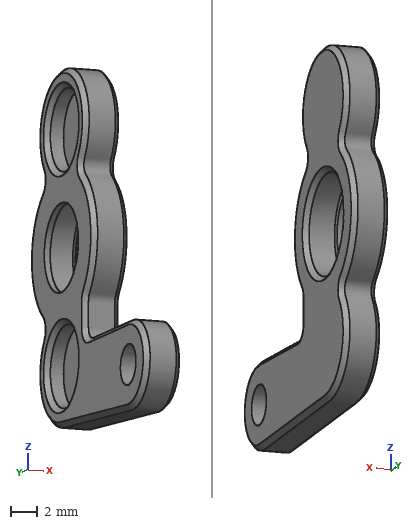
import cadquery as cq
import math

thickness = 3.0
edge_chamfer = 0.4
rim_chamfer = 0.4
corner_fillet = 1.0

ring_radius = 6.5
bore_diameter = 7.0
seat_diameter = 8.1
lip_thickness = 0.5

lobe_radius = 4.75
lobe_pitch = 9.25
pocket_diameter = 6.5
pocket_depth = thickness / 2

arm_end_radius = 3.5
arm_end_y = -13.8
arm_end_z = -11.48
arm_hole_diameter = 3.2
web_edge_y = -4.6


def disc(y, z, radius, depth=thickness, start=0):
    """Cylinder along +X that begins at X = start."""
    return cq.Workplane("YZ", origin=(start, y, z)).circle(radius).extrude(depth)


def arm():
    """Arm with a level top and an underside tangent to both the lobe and its round end."""
    dy = arm_end_y
    dz = arm_end_z + lobe_pitch
    slope = math.atan2(dz, dy)
    tilt = math.acos((lobe_radius - arm_end_radius) / math.hypot(dy, dz))
    normal_y = math.cos(slope + tilt)
    normal_z = math.sin(slope + tilt)
    outline = [
        (0, arm_end_z + arm_end_radius),
        (arm_end_y, arm_end_z + arm_end_radius),
        (arm_end_y, arm_end_z),
        (arm_end_y + arm_end_radius * normal_y, arm_end_z + arm_end_radius * normal_z),
        (lobe_radius * normal_y, -lobe_pitch + lobe_radius * normal_z),
        (0, -lobe_pitch),
    ]
    body = cq.Workplane("YZ").polyline(outline).close().extrude(thickness)
    return body.union(disc(arm_end_y, arm_end_z, arm_end_radius))


def web():
    """Straight-sided link between the ring and the arm."""
    outline = [(0, 0), (web_edge_y, 0), (web_edge_y, -lobe_pitch), (0, -lobe_pitch)]
    return cq.Workplane("YZ").polyline(outline).close().extrude(thickness)


def inner_corners():
    """(Y, Z) of the concave corners of the outline."""
    neck_z = (lobe_pitch**2 + ring_radius**2 - lobe_radius**2) / (2 * lobe_pitch)
    neck_y = math.sqrt(ring_radius**2 - neck_z**2)
    web_top_z = -math.sqrt(ring_radius**2 - web_edge_y**2)
    return [
        (neck_y, neck_z),
        (-neck_y, neck_z),
        (neck_y, -neck_z),
        (web_edge_y, web_top_z),
        (web_edge_y, arm_end_z + arm_end_radius),
    ]


def rim_cone(z, face_x, radius, inward):
    """Cone that widens a round recess at a plate face; inward is the X direction into the plate."""
    return (
        cq.Workplane("YZ", origin=(face_x, 0, z))
        .circle(radius + rim_chamfer)
        .workplane(offset=inward * rim_chamfer)
        .circle(radius)
        .loft(ruled=True)
    )


def pocket(z):
    """Blind round pocket in the -X face with a chamfered rim."""
    radius = pocket_diameter / 2
    return disc(0, z, radius, pocket_depth).union(rim_cone(z, 0, radius, 1))


def bearing_seat():
    """Round seat in the +X face with a chamfered rim; a thin lip remains at the -X face."""
    radius = seat_diameter / 2
    seat = disc(0, 0, radius, thickness - lip_thickness, lip_thickness)
    return seat.union(rim_cone(0, thickness, radius, -1))


plate = disc(0, 0, ring_radius)
for lobe_z in (lobe_pitch, -lobe_pitch):
    plate = plate.union(disc(0, lobe_z, lobe_radius))
plate = plate.union(web()).union(arm()).clean()

for corner_y, corner_z in inner_corners():
    corner = cq.NearestToPointSelector((thickness / 2, corner_y, corner_z))
    plate = plate.edges("|X").edges(corner).fillet(corner_fillet)

plate = plate.faces("<X or >X").edges().chamfer(edge_chamfer)

plate = plate.cut(disc(0, 0, bore_diameter / 2))
plate = plate.cut(bearing_seat())
plate = plate.cut(disc(arm_end_y, arm_end_z, arm_hole_diameter / 2))
for lobe_z in (lobe_pitch, -lobe_pitch):
    plate = plate.cut(pocket(lobe_z))

result = plate